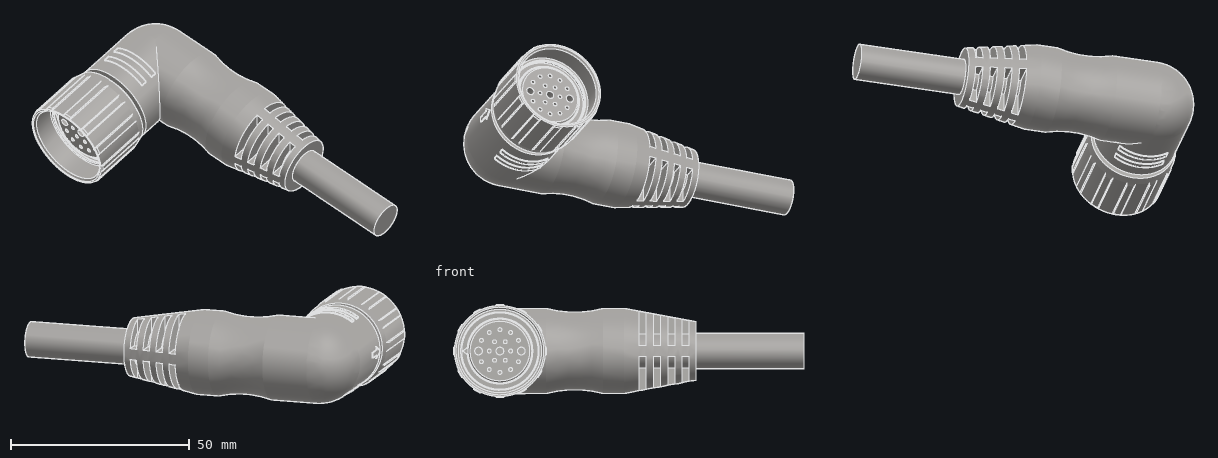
import cadquery as cq
import math


BODY_R = 12.0
LEG_END = 17.9
NECK_R = 9.5

WAIST_START = 12.9
COLLAR_START = 28.9
BOOT_START = 34.8
BOOT_END = 54.9
WAIST_R = 10.9
BOOT_END_R = 8.2

WINDOW_START = 38.9
WINDOW_WIDTH = 2.0
WINDOW_PITCH = 4.0
WINDOW_ROWS = 4
BAR_WIDTH = 3.1

MARK_HEIGHT = 0.3
RIB_LENGTH = 13.9
RIB_WIDTH = 1.8
RIB_CENTRES = (8.9, 12.9)
ARROW_TAIL_Y = -10.8
ARROW_HEAD_Y = -14.4
ARROW_TIP_Y = -17.15
ARROW_SHAFT_HALF = 0.8
ARROW_HEAD_HALF = 1.7

CABLE_R = 5.0

NUT_REAR = 19.5
NUT_FRONT = 38.0
NUT_REAR_R = 12.2
NUT_R = 12.7
NUT_RIB_R = 26.0 / 2
CONE_LENGTH = 2.3
NUT_RIB_COUNT = 12
NUT_RIB_TOP = 2.0
NUT_RIB_BASE = 2.5
NUT_RIB_CHAMFER = 0.6
BORE_R = 11.7
BORE_DEPTH = 6.6
MOUTH_CHAMFER = 0.6
STEP_R = 11.0
STEP_DEPTH = 7.1
SEAT_R = 10.7
SEAT_DEPTH = 7.8
LIP_R = 9.2
LIP_THICKNESS = 1.0

FACE_DEPTH = 6.1
INSERT_R = 8.9
INSERT_CHAMFER = 0.6
SHOULDER_DEPTH = 6.9
KEY_TIP_R = 10.4
KEY_HALF = 1.1

OUTER_RING_R = 6.0
OUTER_RING_COUNT = 12
INNER_RING_R = OUTER_RING_R / 2
INNER_RING_COUNT = 6
SIGNAL_R = 0.54
POWER_R = 1.1
CONTACT_DEPTH = 7.8

TOTAL_LENGTH = 98
CABLE_END = TOTAL_LENGTH - NUT_RIB_R

FACE_Y = FACE_DEPTH - NUT_FRONT
SEAT_Y = SEAT_DEPTH - NUT_FRONT
LIP_REAR_Y = SEAT_Y + LIP_THICKNESS


def disc_y(radius, start, end):
    """Cylinder along the Y axis from y = start to y = end (end < start)."""
    return cq.Workplane("XZ", origin=(0, start, 0)).circle(radius).extrude(start - end)


def disc_x(radius, start, end):
    """Cylinder along the X axis."""
    return cq.Workplane("YZ", origin=(start, 0, 0)).circle(radius).extrude(end - start)


def revolve_y(points):
    """Turn an outline of (radius, y) points about the Y axis."""
    return cq.Workplane("XY").polyline(points).close().revolve(360, (0, 0, 0), (0, 1, 0))


def elbow():
    ball = cq.Workplane("XY").sphere(BODY_R)
    return ball.union(disc_y(BODY_R, 0, -LEG_END))


def boot():
    """Straight run, arched waist, collar and taper, turned about the X axis."""
    waist_middle = (WAIST_START + COLLAR_START) / 2
    return (
        cq.Workplane("XZ")
        .lineTo(0, BODY_R)
        .lineTo(WAIST_START, BODY_R)
        .threePointArc((waist_middle, WAIST_R), (COLLAR_START, BODY_R))
        .lineTo(BOOT_START, BODY_R)
        .lineTo(BOOT_END, BOOT_END_R)
        .lineTo(BOOT_END, 0)
        .close()
        .revolve(360, (0, 0, 0), (1, 0, 0))
    )


def boot_windows():
    """Rows of ring cuts, each broken into four by a cross of bars."""
    windows = []
    bar_length = 2 * BODY_R
    for row in range(WINDOW_ROWS):
        start = WINDOW_START + row * WINDOW_PITCH
        end = start + WINDOW_WIDTH
        ring = disc_x(BODY_R, start, end).cut(disc_x(CABLE_R, start, end))
        for bar_y, bar_z in [(BAR_WIDTH, bar_length), (bar_length, BAR_WIDTH)]:
            bar = cq.Workplane("YZ", origin=(start, 0, 0)).rect(bar_y, bar_z)
            ring = ring.cut(bar.extrude(WINDOW_WIDTH))
        windows.append(ring)
    return windows


def leg_marks():
    """Raised grip ribs above and below the leg, and an arrow on its -X side."""
    size = 2 * (BODY_R + MARK_HEIGHT)
    shapes = cq.Workplane("XY").pushPoints([(0, -y) for y in RIB_CENTRES])
    shapes = shapes.rect(RIB_LENGTH, RIB_WIDTH).extrude(size / 2, both=True)
    arrow = (
        cq.Workplane("YZ")
        .moveTo(ARROW_TAIL_Y, ARROW_SHAFT_HALF)
        .lineTo(ARROW_HEAD_Y, ARROW_SHAFT_HALF)
        .lineTo(ARROW_HEAD_Y, ARROW_HEAD_HALF)
        .lineTo(ARROW_TIP_Y, 0)
        .lineTo(ARROW_HEAD_Y, -ARROW_HEAD_HALF)
        .lineTo(ARROW_HEAD_Y, -ARROW_SHAFT_HALF)
        .lineTo(ARROW_TAIL_Y, -ARROW_SHAFT_HALF)
        .close()
        .extrude(-size / 2)
    )
    return shapes.union(arrow).intersect(disc_y(size / 2, 0, -LEG_END))


def contact_insert():
    """Neck through the nut, stepped down to the chamfered contact face, with its key."""
    shoulder_y = SHOULDER_DEPTH - NUT_FRONT
    front = revolve_y(
        [
            (0, 0),
            (NECK_R, 0),
            (NECK_R, LIP_REAR_Y),
            (LIP_R, LIP_REAR_Y),
            (LIP_R, shoulder_y),
            (INSERT_R, shoulder_y),
            (INSERT_R, FACE_Y + INSERT_CHAMFER),
            (INSERT_R - INSERT_CHAMFER, FACE_Y),
            (0, FACE_Y),
        ]
    )
    key = (
        cq.Workplane("XZ", origin=(0, SEAT_Y, 0))
        .polyline([(-INSERT_R, KEY_HALF), (-KEY_TIP_R, 0), (-INSERT_R, -KEY_HALF), (0, 0)])
        .close()
        .extrude(SEAT_Y - shoulder_y)
    )
    return front.union(key)


def contact_holes():
    """Power contacts at the centre and on the X axis, signal contacts on two rings."""
    power = [(0, 0)]
    signal = []
    for i in range(OUTER_RING_COUNT):
        angle = 2 * math.pi * i / OUTER_RING_COUNT
        point = (OUTER_RING_R * math.cos(angle), OUTER_RING_R * math.sin(angle))
        on_x_axis = i % (OUTER_RING_COUNT // 2) == 0
        (power if on_x_axis else signal).append(point)
    for i in range(INNER_RING_COUNT):
        angle = 2 * math.pi * i / INNER_RING_COUNT
        signal.append((INNER_RING_R * math.cos(angle), INNER_RING_R * math.sin(angle)))
    face = cq.Workplane("XZ", origin=(0, FACE_Y, 0))
    power_holes = face.pushPoints(power).circle(POWER_R).extrude(-CONTACT_DEPTH)
    signal_holes = face.pushPoints(signal).circle(SIGNAL_R).extrude(-CONTACT_DEPTH)
    return [power_holes, signal_holes]


def make_housing():
    housing = elbow().union(boot()).union(leg_marks()).union(contact_insert())
    for cutter in boot_windows() + contact_holes():
        housing = housing.cut(cutter)
    return housing.cut(make_cable()).solids()


def make_cable():
    return disc_x(CABLE_R, BOOT_START, CABLE_END)


def nut_blank():
    """Turned nut at the full rib radius, with its rear cone, stepped bore and rear lip."""
    slope = (NUT_R - NUT_REAR_R) / CONE_LENGTH
    cone_end = NUT_REAR + (NUT_RIB_R - NUT_REAR_R) / slope
    bore_y = BORE_DEPTH - NUT_FRONT
    step_y = STEP_DEPTH - NUT_FRONT
    return revolve_y(
        [
            (NECK_R, -NUT_REAR),
            (NUT_REAR_R, -NUT_REAR),
            (NUT_RIB_R, -cone_end),
            (NUT_RIB_R, NUT_RIB_CHAMFER - NUT_FRONT),
            (NUT_R, -NUT_FRONT),
            (BORE_R + MOUTH_CHAMFER, -NUT_FRONT),
            (BORE_R, MOUTH_CHAMFER - NUT_FRONT),
            (BORE_R, bore_y),
            (STEP_R, bore_y),
            (STEP_R, step_y),
            (SEAT_R, step_y),
            (SEAT_R, SEAT_Y),
            (LIP_R, SEAT_Y),
            (LIP_R, LIP_REAR_Y),
            (NECK_R, LIP_REAR_Y),
        ]
    )


def nut_grip():
    """Round bar with tapered ribs along it, equally spaced from +Z."""
    base_z = math.sqrt(NUT_R**2 - (NUT_RIB_BASE / 2) ** 2)
    flank_slope = (NUT_RIB_BASE - NUT_RIB_TOP) / 2 / (NUT_RIB_R - base_z)
    peak_z = NUT_RIB_R + NUT_RIB_TOP / 2 / flank_slope
    rib = (
        cq.Workplane("XZ", origin=(0, -NUT_REAR, 0))
        .polyline([(-NUT_RIB_BASE / 2, base_z), (0, peak_z), (NUT_RIB_BASE / 2, base_z), (0, 0)])
        .close()
        .extrude(NUT_FRONT - NUT_REAR)
    )
    grip = disc_y(NUT_R, -NUT_REAR, -NUT_FRONT)
    for i in range(NUT_RIB_COUNT):
        grip = grip.union(rib.rotate((0, 0, 0), (0, 1, 0), 360 * i / NUT_RIB_COUNT))
    return grip


def make_nut():
    return nut_blank().intersect(nut_grip()).solids()


housing = make_housing()
cable = make_cable()
nut = make_nut()

result = cq.Compound.makeCompound([housing.val(), cable.val(), nut.val()])